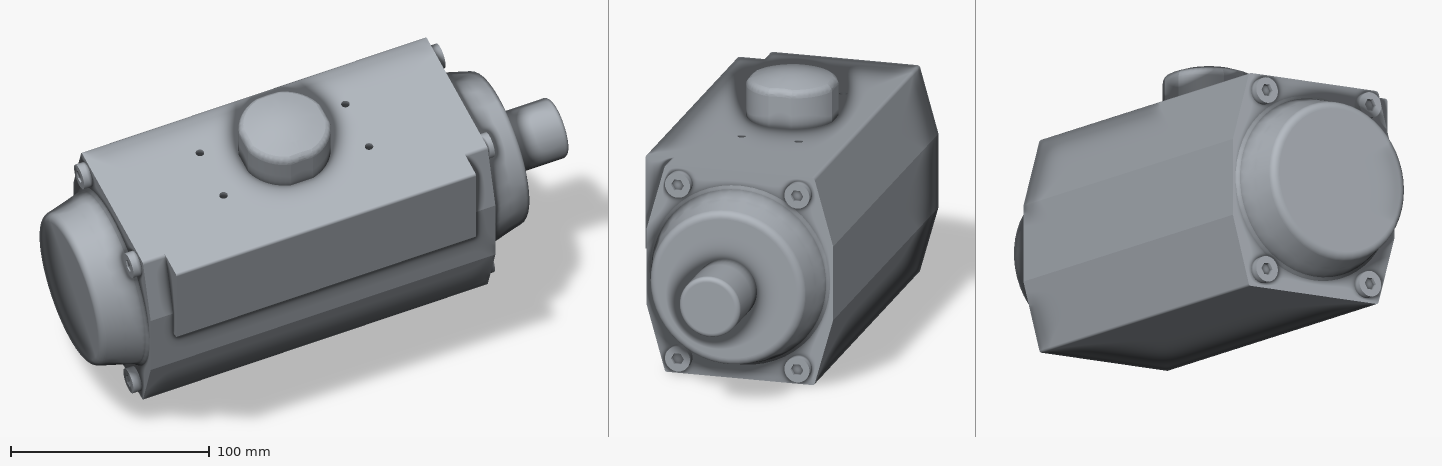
import cadquery as cq

half_width = 49.0
half_height = 55.0
flat_half_width = 39.0
side_half_height = 19.5
housing_length = 189.2
cap_thickness = 12.3
top_edge_radius = 2.0
bottom_edge_radius = 1.3

pad_face_x = 53.0
pad_bottom_z = 5.4
pad_root_z = 4.0
pad_edge_radius = 1.3

cover_base_radius = 47.5
cover_root_radius = 45.8
cover_root_height = 1.5
cover_end_radius = 40.0
cover_length = 23.5
cover_edge_radius = 4.0

boss_diameter = 32.0
boss_length = 31.5
boss_edge_radius = 2.5

screw_x = 31.4
screw_z = 46.0
screw_head_diameter = 13.0
screw_head_height = 4.5
socket_across_corners = 6.7
socket_depth = 2.7

knob_diameter = 46.5
knob_across_flats = 45.0
knob_height = 24.0
knob_dome_radius = 55.7
knob_edge_radius = 4.0

mount_hole_diameter = 4.3
mount_hole_depth = 8.0
mount_spacing_x = 30.0
mount_spacing_y = 79.9

half_length = housing_length / 2


def make_housing():
    outline = [
        (flat_half_width, half_height),
        (half_width, side_half_height),
        (half_width, -side_half_height),
        (flat_half_width, -half_height),
        (-flat_half_width, -half_height),
        (-half_width, -side_half_height),
        (-half_width, side_half_height),
        (-flat_half_width, half_height),
    ]
    housing = cq.Workplane("XZ").polyline(outline).close().extrude(half_length, both=True)
    housing = housing.faces(">Z").edges("|Y").fillet(top_edge_radius)
    return housing.faces("<Z").edges("|Y").fillet(bottom_edge_radius)


def make_pad():
    outline = [
        (0, half_height),
        (pad_face_x, half_height),
        (pad_face_x, pad_bottom_z),
        (half_width, pad_root_z),
        (0, pad_root_z),
    ]
    pad_half_length = half_length - cap_thickness
    pad = cq.Workplane("XZ").polyline(outline).close().extrude(pad_half_length, both=True)
    return pad.edges("|Y and >X and >Z").fillet(pad_edge_radius)


def make_cover():
    """Tapered cover on the +Y end face."""
    profile = [
        (0, half_length),
        (cover_base_radius, half_length),
        (cover_root_radius, half_length + cover_root_height),
        (cover_end_radius, half_length + cover_length),
        (0, half_length + cover_length),
    ]
    cover = cq.Workplane("XY").polyline(profile).close().revolve(360, (0, 0), (0, 1))
    return cover.faces(">Y").edges().fillet(cover_edge_radius)


def make_screws():
    """Four socket head screws on the +Y end face."""
    corners = [(x, z) for x in (-screw_x, screw_x) for z in (-screw_z, screw_z)]
    seat = cq.Workplane("XZ", origin=(0, half_length, 0))
    heads = seat.pushPoints(corners).circle(screw_head_diameter / 2).extrude(-screw_head_height)
    socket_plane = cq.Workplane("XZ", origin=(0, half_length + screw_head_height, 0))
    sockets = socket_plane.pushPoints(corners).polygon(6, socket_across_corners).extrude(socket_depth)
    return heads, sockets


def make_boss():
    cover_face = cq.Workplane("XZ", origin=(0, half_length + cover_length, 0))
    boss = cover_face.circle(boss_diameter / 2).extrude(-boss_length)
    return boss.faces(">Y").edges().fillet(boss_edge_radius)


def make_knob():
    """Domed round knob with four narrow flats facing X and Y."""
    knob = cq.Workplane("XY").circle(knob_diameter / 2).extrude(knob_height)
    flats = cq.Workplane("XY").rect(knob_across_flats, knob_across_flats).extrude(knob_height)
    dome = cq.Workplane("XY").sphere(knob_dome_radius)
    dome = dome.translate((0, 0, knob_height - knob_dome_radius))
    knob = knob.intersect(flats).intersect(dome)
    knob = knob.faces(">Z").edges().fillet(knob_edge_radius)
    return knob.translate((0, 0, half_height))


def make_mount_holes():
    top_face = cq.Workplane("XY", origin=(0, 0, half_height))
    pattern = top_face.rarray(mount_spacing_x, mount_spacing_y, 2, 2)
    return pattern.circle(mount_hole_diameter / 2).extrude(-mount_hole_depth)


result = make_housing().union(make_pad()).union(make_boss()).union(make_knob())

cover = make_cover()
heads, sockets = make_screws()
for end_feature in (cover, heads):
    result = result.union(end_feature).union(end_feature.mirror("XZ"))
result = result.cut(sockets).cut(sockets.mirror("XZ"))
result = result.cut(make_mount_holes())